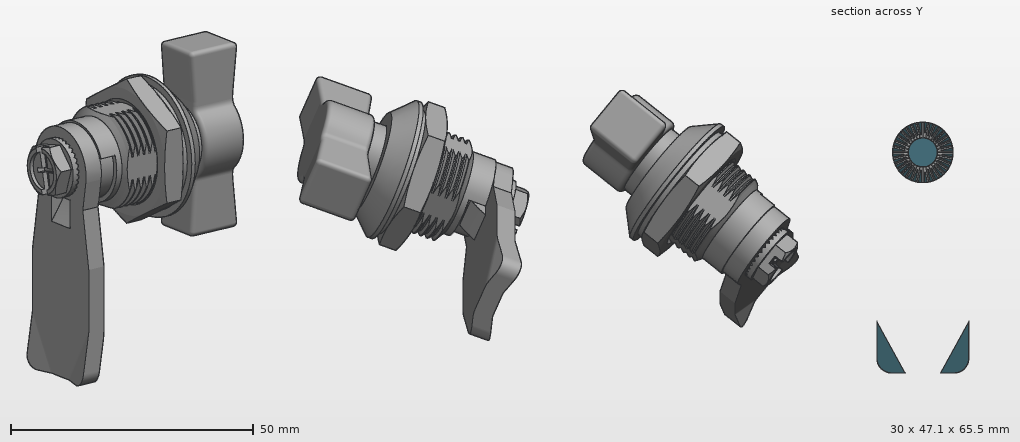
import cadquery as cq
import math


HANDLE_TIP_TOP = 19.7
HUB_TOP = 18.6
HUB_BOTTOM = 8.1
HANDLE_TIP_BOTTOM = 7.3
FLANGE_TOP = 5.3
RIM_TOP = 0.9
GASKET_BOTTOM = -1.1
NUT_BOTTOM = -5.95
THREAD_END = -12.25
THREAD_RUNOUT_END = -12.7
COLLAR_START = -13.55
STOP_RECESS_START = -14.95
COLLAR_END = -18.6
CAM_FRONT = -22.6
WASHER_FRONT = -24.2
BOLT_FRONT = -27.5

HUB_RADIUS = 9.05
SHAFT_RADIUS = 15.8 / 2
WING_WIDTH = 10.8
WING_REACH = 20.0
WING_FLARE_START = 9.05
HANDLE_EDGE_RADIUS = 1.0
WING_ROOT_RADIUS = 1.8

FLANGE_RADIUS = 30.0 / 2
FLANGE_TOP_RADIUS = 10.8
BORE_RADIUS = 16.0 / 2
COLLAR_RADIUS = 18.0 / 2
THREAD_RADIUS = 22.0 / 2
THREAD_ROOT_RADIUS = 20.45 / 2
THREAD_PITCH = 1.5
THREAD_ROOT_FLAT = 0.3
FIRST_GROOVE = -2.5
GROOVE_COUNT = 7
THREAD_FLATS_WIDTH = 19.85

NUT_ACROSS_FLATS = 27.1
NUT_CHAMFER_HEIGHT = 0.6
NUT_COUNTERSINK_RADIUS = 11.2
NUT_COUNTERSINK_DEPTH = 0.65
GASKET_RADIUS = 27.0 / 2

CAM_HEAD_RADIUS = 8.6
CAM_TAPER_ANGLE = 9.5
CAM_WAIST_HALF_WIDTH = 7.45
CAM_WAIST_Z = -7.5
CAM_HALF_WIDTH = 9.5
CAM_SHOULDER_Z = -20.0
CAM_END_Z = -45.5
CAM_CORNER_RADIUS = 3.1
BEND_START_Z = -33.0
BEND_END_X = 2.6
BEND_ANGLE = 18
BEND_INNER_RADIUS = 1.4
TAB_WIDTH = 6.2
WINDOW_TOP_Z = -6.4
WINDOW_BOTTOM_Z = -12.6
TAB_TIP_Z = -8.05
TAB_TIP_BACK_Y = -15.3
TAB_ARC_BULGE = 0.25

WASHER_RADIUS = 12.5 / 2
TOOTH_COUNT = 32
TOOTH_DEPTH = 0.45
TOOTH_GAP_WIDTH = 0.9
BOLT_SHANK_RADIUS = 3.0
BOLT_SHANK_END = -7.85
BOLT_ACROSS_FLATS = 10.0
BOLT_TURN = 12
BOLT_CHAMFER_RADIUS = 9.8 / 2
BOLT_CHAMFER_HEIGHT = 0.65
BOLT_RECESS_RADIUS = 4.0
BOLT_RECESS_DEPTH = 0.85
BOLT_SLOT_WIDTH = 1.9
BOLT_SLOT_DEPTH = 1.95
CROSS_SPAN = 5.1
CROSS_WIDTH = 0.9
CROSS_DEPTH = 2.6


def turned(points):
    """Solid of revolution about the Y axis from (radius, y) points."""
    return cq.Workplane("XY").polyline(points).close().revolve(360, (0, 0), (0, 1))


def plane_at(y):
    """Workplane across the axis, facing -Y, with local axes X and Z."""
    return cq.Workplane("XZ", origin=(0, y, 0))


def cylinder(radius, y_back, y_front):
    return plane_at(y_back).circle(radius).extrude(y_back - y_front)


def hexagon(across_flats, y_back, y_front):
    """Hexagonal prism with two corners on the local X axis."""
    corner_diameter = across_flats / math.cos(math.pi / 6)
    return plane_at(y_back).polygon(6, corner_diameter).extrude(y_back - y_front)


def make_handle():
    hub = cylinder(HUB_RADIUS, HUB_TOP, HUB_BOTTOM)
    wings = (
        cq.Workplane("YZ", origin=(-WING_WIDTH / 2, 0, 0))
        .moveTo(HUB_BOTTOM, -WING_FLARE_START)
        .lineTo(HANDLE_TIP_BOTTOM, -WING_REACH)
        .lineTo(HANDLE_TIP_TOP, -WING_REACH)
        .lineTo(HUB_TOP, -WING_FLARE_START)
        .lineTo(HUB_TOP, WING_FLARE_START)
        .lineTo(HANDLE_TIP_TOP, WING_REACH)
        .lineTo(HANDLE_TIP_BOTTOM, WING_REACH)
        .lineTo(HUB_BOTTOM, WING_FLARE_START)
        .close()
        .extrude(WING_WIDTH)
    )
    grip = hub.union(wings)
    root_half_height = math.sqrt(HUB_RADIUS**2 - (WING_WIDTH / 2) ** 2)
    root_box = cq.selectors.BoxSelector(
        (-WING_WIDTH, HUB_BOTTOM - 0.65, -root_half_height - 0.65),
        (WING_WIDTH, HUB_TOP + 0.65, root_half_height + 0.65),
    )
    grip = grip.edges("|Y").edges(root_box).fillet(WING_ROOT_RADIUS)
    tip_edges = grip.edges(">Z or <Z").vals()
    rim_edges = grip.edges("not(|X or |Y)").vals()
    grip = grip.newObject(tip_edges + rim_edges).fillet(HANDLE_EDGE_RADIUS)
    bolt_hole = cylinder(BOLT_SHANK_RADIUS, BOLT_SHANK_END, COLLAR_END)
    shaft = cylinder(SHAFT_RADIUS, HUB_BOTTOM + HANDLE_EDGE_RADIUS, COLLAR_END)
    return grip.union(shaft).cut(bolt_hole)


def thread_groove(y):
    depth = THREAD_RADIUS - THREAD_ROOT_RADIUS
    root_half = THREAD_ROOT_FLAT / 2
    mouth_half = root_half + depth * math.tan(math.radians(30))
    return turned(
        [
            (THREAD_ROOT_RADIUS, y - root_half),
            (THREAD_RADIUS, y - mouth_half),
            (THREAD_RADIUS, y + mouth_half),
            (THREAD_ROOT_RADIUS, y + root_half),
        ]
    )


def threaded_rod():
    rod = turned(
        [
            (0, 0),
            (THREAD_RADIUS, 0),
            (THREAD_RADIUS, THREAD_END),
            (THREAD_ROOT_RADIUS, THREAD_RUNOUT_END),
            (COLLAR_RADIUS, COLLAR_START),
            (0, COLLAR_START),
        ]
    )
    for i in range(GROOVE_COUNT):
        rod = rod.cut(thread_groove(FIRST_GROOVE - i * THREAD_PITCH))
    return rod


def make_housing():
    flats = plane_at(0).rect(THREAD_FLATS_WIDTH, THREAD_FLATS_WIDTH).extrude(-COLLAR_START)
    flange = turned(
        [
            (0, 0),
            (FLANGE_RADIUS, 0),
            (FLANGE_RADIUS, RIM_TOP),
            (FLANGE_TOP_RADIUS, FLANGE_TOP),
            (0, FLANGE_TOP),
        ]
    )
    collar = cylinder(COLLAR_RADIUS, COLLAR_START, COLLAR_END)
    stop_recess = (
        plane_at(STOP_RECESS_START)
        .moveTo(-TAB_WIDTH / 2, TAB_WIDTH / 2)
        .rect(2 * COLLAR_RADIUS, -2 * COLLAR_RADIUS, centered=False)
        .extrude(STOP_RECESS_START - COLLAR_END)
    )
    bore = cylinder(BORE_RADIUS, FLANGE_TOP, COLLAR_END)
    return threaded_rod().intersect(flats).union(flange).union(collar.cut(stop_recess)).cut(bore)


def make_gasket():
    return cylinder(GASKET_RADIUS, 0, GASKET_BOTTOM).cut(cylinder(THREAD_RADIUS, 0, GASKET_BOTTOM))


def make_nut():
    face_radius = NUT_ACROSS_FLATS / 2
    corner_radius = face_radius / math.cos(math.pi / 6)
    chamfered_blank = turned(
        [
            (0, GASKET_BOTTOM),
            (face_radius, GASKET_BOTTOM),
            (corner_radius, GASKET_BOTTOM - NUT_CHAMFER_HEIGHT),
            (corner_radius, NUT_BOTTOM + NUT_CHAMFER_HEIGHT),
            (face_radius, NUT_BOTTOM),
            (0, NUT_BOTTOM),
        ]
    )
    prism = hexagon(NUT_ACROSS_FLATS, GASKET_BOTTOM, NUT_BOTTOM).rotate((0, 0, 0), (0, 1, 0), 90)
    bore = turned(
        [
            (0, GASKET_BOTTOM),
            (NUT_COUNTERSINK_RADIUS, GASKET_BOTTOM),
            (THREAD_ROOT_RADIUS, GASKET_BOTTOM - NUT_COUNTERSINK_DEPTH),
            (THREAD_ROOT_RADIUS, NUT_BOTTOM + NUT_COUNTERSINK_DEPTH),
            (NUT_COUNTERSINK_RADIUS, NUT_BOTTOM),
            (0, NUT_BOTTOM),
        ]
    )
    return prism.intersect(chamfered_blank).cut(bore).cut(threaded_rod())


def cam_blank(thickness):
    taper = math.radians(CAM_TAPER_ANGLE)
    tangent_x = CAM_HEAD_RADIUS * math.cos(taper)
    tangent_z = -CAM_HEAD_RADIUS * math.sin(taper)
    return (
        plane_at(COLLAR_END)
        .moveTo(-tangent_x, tangent_z)
        .threePointArc((0, CAM_HEAD_RADIUS), (tangent_x, tangent_z))
        .lineTo(CAM_WAIST_HALF_WIDTH, CAM_WAIST_Z)
        .lineTo(CAM_HALF_WIDTH, CAM_SHOULDER_Z)
        .lineTo(CAM_HALF_WIDTH, CAM_END_Z)
        .lineTo(-CAM_HALF_WIDTH, CAM_END_Z)
        .lineTo(-CAM_HALF_WIDTH, CAM_SHOULDER_Z)
        .lineTo(-CAM_WAIST_HALF_WIDTH, CAM_WAIST_Z)
        .close()
        .extrude(thickness)
        .edges("|Y and <Z")
        .fillet(CAM_CORNER_RADIUS)
    )


def bend_plane():
    """Plane across the +X bend line: local x points to the corner and local y points forward."""
    run_x = CAM_HALF_WIDTH - BEND_END_X
    run_z = BEND_START_Z - CAM_END_Z
    return cq.Plane(
        origin=(CAM_HALF_WIDTH, COLLAR_END, BEND_START_Z),
        xDir=(run_z, 0, -run_x),
        normal=(-run_x, 0, -run_z),
    )


def bent_corner(thickness, reach):
    angle = math.radians(BEND_ANGLE)
    outer_radius = BEND_INNER_RADIUS + thickness

    def on_bend(radius, turn):
        return (radius * math.sin(turn), outer_radius - radius * math.cos(turn))

    def straight_end(radius):
        x, y = on_bend(radius, angle)
        return (reach, y + (reach - x) * math.tan(angle))

    strip = (
        cq.Workplane(bend_plane())
        .moveTo(0, 0)
        .threePointArc(on_bend(outer_radius, angle / 2), on_bend(outer_radius, angle))
        .lineTo(*straight_end(outer_radius))
        .lineTo(*straight_end(BEND_INNER_RADIUS))
        .lineTo(*on_bend(BEND_INNER_RADIUS, angle))
        .threePointArc(on_bend(BEND_INNER_RADIUS, angle / 2), (0, thickness))
        .close()
        .extrude(2 * CAM_HALF_WIDTH, both=True)
    )
    return strip.intersect(cam_blank(2 * thickness))


def cam_tab():
    """Curved tab running from the foot of the window back into the stop recess."""
    front_middle = (
        (CAM_FRONT + COLLAR_END) / 2,
        (WINDOW_BOTTOM_Z + WINDOW_TOP_Z) / 2 - TAB_ARC_BULGE,
    )
    back_middle = (
        (COLLAR_END + TAB_TIP_BACK_Y) / 2,
        (WINDOW_BOTTOM_Z + TAB_TIP_Z) / 2 - TAB_ARC_BULGE,
    )
    return (
        cq.Workplane("YZ", origin=(-TAB_WIDTH / 2, 0, 0))
        .moveTo(CAM_FRONT, WINDOW_BOTTOM_Z)
        .threePointArc(front_middle, (COLLAR_END, WINDOW_TOP_Z))
        .lineTo(COLLAR_END, TAB_TIP_Z)
        .lineTo(TAB_TIP_BACK_Y, TAB_TIP_Z)
        .threePointArc(back_middle, (COLLAR_END, WINDOW_BOTTOM_Z))
        .close()
        .extrude(TAB_WIDTH)
    )


def make_cam():
    thickness = COLLAR_END - CAM_FRONT
    reach = CAM_HALF_WIDTH
    corner_zone = (
        cq.Workplane(bend_plane())
        .rect(reach, 2 * thickness, centered=False)
        .extrude(2 * CAM_HALF_WIDTH, both=True)
    )
    corner = bent_corner(thickness, reach)
    window = (
        plane_at(COLLAR_END)
        .moveTo(-TAB_WIDTH / 2, WINDOW_BOTTOM_Z)
        .rect(TAB_WIDTH, WINDOW_TOP_Z - WINDOW_BOTTOM_Z, centered=False)
        .extrude(thickness)
    )
    arm = cam_blank(thickness).cut(corner_zone).cut(corner_zone.mirror("YZ"))
    arm = arm.union(corner).union(corner.mirror("YZ"))
    bolt_hole = cylinder(BOLT_SHANK_RADIUS, COLLAR_END, CAM_FRONT)
    return arm.cut(window).union(cam_tab()).cut(bolt_hole)


def make_washer():
    washer = cylinder(WASHER_RADIUS, CAM_FRONT, WASHER_FRONT)
    half_gap = TOOTH_GAP_WIDTH / 2
    tooth_gap = (
        cq.Workplane("XY")
        .moveTo(-half_gap, CAM_FRONT)
        .lineTo(half_gap, CAM_FRONT)
        .lineTo(0, CAM_FRONT - TOOTH_DEPTH)
        .close()
        .extrude(WASHER_RADIUS)
    )
    for i in range(TOOTH_COUNT):
        washer = washer.cut(tooth_gap.rotate((0, 0, 0), (0, 1, 0), i * 360 / TOOTH_COUNT))
    return washer.cut(cylinder(BOLT_SHANK_RADIUS, CAM_FRONT, WASHER_FRONT))


def make_bolt():
    corner_radius = BOLT_ACROSS_FLATS / 2 / math.cos(math.pi / 6)
    chamfered_blank = turned(
        [
            (0, WASHER_FRONT),
            (corner_radius, WASHER_FRONT),
            (corner_radius, BOLT_FRONT + BOLT_CHAMFER_HEIGHT),
            (BOLT_CHAMFER_RADIUS, BOLT_FRONT),
            (0, BOLT_FRONT),
        ]
    )
    head = hexagon(BOLT_ACROSS_FLATS, WASHER_FRONT, BOLT_FRONT).intersect(chamfered_blank)
    recess = cylinder(BOLT_RECESS_RADIUS, BOLT_FRONT + BOLT_RECESS_DEPTH, BOLT_FRONT)
    slot = (
        plane_at(BOLT_FRONT + BOLT_SLOT_DEPTH)
        .rect(BOLT_SLOT_WIDTH, 2 * corner_radius)
        .extrude(BOLT_SLOT_DEPTH)
    )
    cross = (
        plane_at(BOLT_FRONT + CROSS_DEPTH)
        .rect(CROSS_SPAN, CROSS_WIDTH)
        .extrude(CROSS_DEPTH)
    )
    cross = cross.union(cross.rotate((0, 0, 0), (0, 1, 0), 90))
    head = head.cut(recess).cut(slot).cut(cross)
    shank = cylinder(BOLT_SHANK_RADIUS, BOLT_SHANK_END, WASHER_FRONT)
    return head.union(shank).rotate((0, 0, 0), (0, 1, 0), -BOLT_TURN)


handle = make_handle()
housing = make_housing()
gasket = make_gasket()
nut = make_nut()
cam = make_cam()
washer = make_washer()
bolt = make_bolt()

result = cq.Compound.makeCompound(
    [
        handle.val(),
        housing.val(),
        gasket.val(),
        nut.val(),
        cam.val(),
        washer.val(),
        bolt.val(),
    ]
)